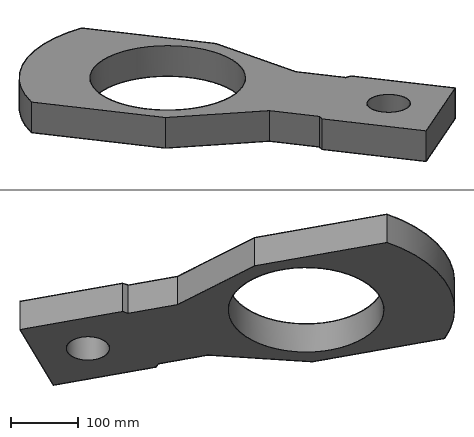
import cadquery as cq

length = 638.0
width = 275.0
thickness = 50.0

head_corner_x = 49.0
head_taper_x = 255.0
ring_bore_x = 219.5
ring_bore_diameter = 230.0

neck_start_x = 396.0
neck_end_x = 472.5
neck_width = 145.0
tail_start_x = 479.0
tail_width = 159.5
pin_hole_x = 558.5
pin_hole_diameter = 64.0

half_width = width / 2
half_neck = neck_width / 2
half_tail = tail_width / 2


def plate_outline():
    return (
        cq.Workplane("XY")
        .moveTo(head_corner_x, half_width)
        .threePointArc((0, 0), (head_corner_x, -half_width))
        .lineTo(head_taper_x, -half_width)
        .lineTo(neck_start_x, -half_neck)
        .lineTo(neck_end_x, -half_neck)
        .lineTo(tail_start_x, -half_tail)
        .lineTo(length, -half_tail)
        .lineTo(length, half_tail)
        .lineTo(tail_start_x, half_tail)
        .lineTo(neck_end_x, half_neck)
        .lineTo(neck_start_x, half_neck)
        .lineTo(head_taper_x, half_width)
        .close()
    )


def through_hole(x, diameter):
    return cq.Workplane("XY").center(x, 0).circle(diameter / 2).extrude(thickness)


plate = plate_outline().extrude(thickness)
ring_bore = through_hole(ring_bore_x, ring_bore_diameter)
pin_hole = through_hole(pin_hole_x, pin_hole_diameter)
result = plate.cut(ring_bore).cut(pin_hole)